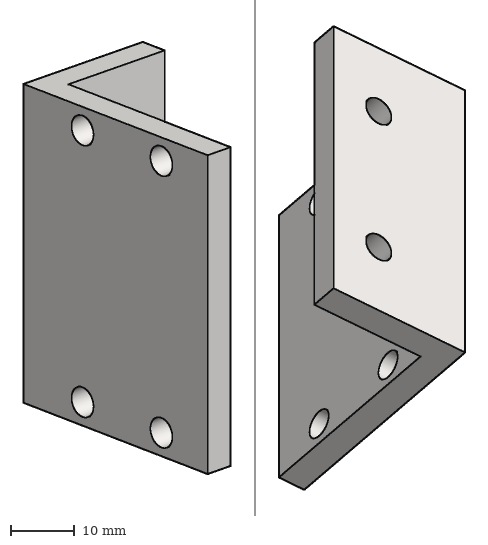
import cadquery as cq

width = 42.0
depth = 26.0
height = 54.0
thickness = 5.0

hole_diameter = 5.0

plate_hole_first_x = 13.5
plate_hole_spacing_x = 18.0
plate_hole_end_margin = 4.0

flange_hole_y = 17.05
flange_hole_end_margin = 13.0


def make_bracket():
    """L-shaped profile with its outer corner at the origin, extruded along Z."""
    outline = [
        (0, 0),
        (width, 0),
        (width, thickness),
        (thickness, thickness),
        (thickness, depth),
        (0, depth),
    ]
    return cq.Workplane("XY").polyline(outline).close().extrude(height)


def make_hole(start, direction):
    """Cylinder that cuts one hole through a wall of the bracket."""
    return cq.Solid.makeCylinder(
        hole_diameter / 2, thickness, cq.Vector(*start), cq.Vector(*direction)
    )


result = make_bracket()

for x in (plate_hole_first_x, plate_hole_first_x + plate_hole_spacing_x):
    for z in (plate_hole_end_margin, height - plate_hole_end_margin):
        result = result.cut(make_hole((x, 0, z), (0, 1, 0)))

for z in (flange_hole_end_margin, height - flange_hole_end_margin):
    result = result.cut(make_hole((0, flange_hole_y, z), (1, 0, 0)))